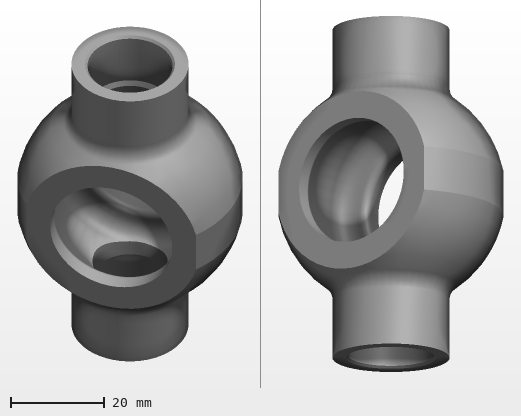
import cadquery as cq
import math

total_height = 72.0
body_width = 48.0
body_depth = 30.0
sphere_radius = 24.5
neck_diameter = 25.0
neck_fillet = 4.0
neck_bore = 16.0
socket_diameter = 18.15
socket_depth = 12.0
socket_tip_angle = 118.0
socket_chamfer = 0.5
window_diameter = 27.0
lip_round = 1.5
chamber_fillet = 4.0
chamber_diameter = 40.0
lip_depth = 3.0

half_height = total_height / 2
neck_radius = neck_diameter / 2


def make_body():
    """Revolve the sphere, equator band, fillets and necks, then cut the two flat faces."""
    band_radius = body_width / 2
    band_half = math.sqrt(sphere_radius**2 - band_radius**2)

    fillet_x = neck_radius + neck_fillet
    centre_distance = sphere_radius + neck_fillet
    fillet_z = math.sqrt(centre_distance**2 - fillet_x**2)
    touch_x = fillet_x * sphere_radius / centre_distance
    touch_z = fillet_z * sphere_radius / centre_distance

    touch_angle = math.atan2(touch_z, touch_x)
    band_angle = math.atan2(band_half, band_radius)
    sphere_mid = (touch_angle + band_angle) / 2
    sphere_mid_x = sphere_radius * math.cos(sphere_mid)
    sphere_mid_z = sphere_radius * math.sin(sphere_mid)
    fillet_mid = touch_angle / 2
    fillet_mid_x = fillet_x - neck_fillet * math.cos(fillet_mid)
    fillet_mid_z = fillet_z - neck_fillet * math.sin(fillet_mid)

    upper_half = (
        cq.Workplane("XZ")
        .lineTo(band_radius, 0)
        .lineTo(band_radius, band_half)
        .threePointArc((sphere_mid_x, sphere_mid_z), (touch_x, touch_z))
        .threePointArc((fillet_mid_x, fillet_mid_z), (neck_radius, fillet_z))
        .lineTo(neck_radius, half_height)
        .lineTo(0, half_height)
        .close()
        .revolve(360, (0, 0, 0), (0, 1, 0))
    )
    body = upper_half.union(upper_half.mirror("XY"))
    flats = cq.Workplane("XY").box(body_width, body_depth, total_height)
    return body.intersect(flats)


def make_vertical_bore():
    """Through bore with a chamfered socket at both ends."""
    bore_radius = neck_bore / 2
    socket_radius = socket_diameter / 2
    mouth_radius = socket_radius + socket_chamfer
    socket_end = half_height - socket_depth
    cone_height = (socket_radius - bore_radius) / math.tan(math.radians(socket_tip_angle / 2))
    cone_end = socket_end - cone_height
    upper_half = (
        cq.Workplane("XZ")
        .lineTo(bore_radius, 0)
        .lineTo(bore_radius, cone_end)
        .lineTo(socket_radius, socket_end)
        .lineTo(socket_radius, half_height - socket_chamfer)
        .lineTo(mouth_radius, half_height)
        .lineTo(0, half_height)
        .close()
        .revolve(360, (0, 0, 0), (0, 1, 0))
    )
    return upper_half.union(upper_half.mirror("XY"))


def make_cross_bore():
    """Bore along Y that flares over a convex round at each end into a filleted chamber."""
    window_radius = window_diameter / 2
    chamber_radius = chamber_diameter / 2
    face_y = body_depth / 2
    lip_y = face_y - lip_depth
    chamber_end_y = lip_y - lip_round
    diagonal = math.sqrt(0.5)

    round_centre_x = window_radius + lip_round
    round_mid = (round_centre_x - lip_round * diagonal, lip_y - lip_round * diagonal)
    fillet_x = chamber_radius - chamber_fillet
    fillet_y = chamber_end_y - chamber_fillet
    fillet_mid = (fillet_x + chamber_fillet * diagonal, fillet_y + chamber_fillet * diagonal)

    back_half = (
        cq.Workplane("XY")
        .lineTo(chamber_radius, 0)
        .lineTo(chamber_radius, fillet_y)
        .threePointArc(fillet_mid, (fillet_x, chamber_end_y))
        .lineTo(round_centre_x, chamber_end_y)
        .threePointArc(round_mid, (window_radius, lip_y))
        .lineTo(window_radius, face_y)
        .lineTo(0, face_y)
        .close()
        .revolve(360, (0, 0, 0), (0, 1, 0))
    )
    return back_half.union(back_half.mirror("XZ"))


result = make_body().cut(make_vertical_bore()).cut(make_cross_bore())